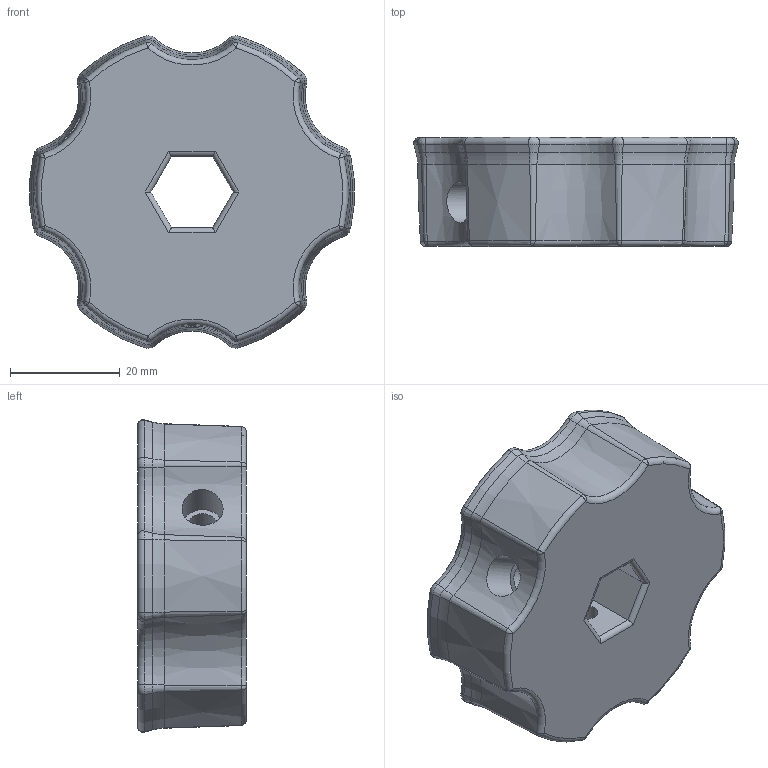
import cadquery as cq
import math

depth = 19.85
front_radius = 28.44
draft_angle = math.radians(2)
flare_angle = math.radians(14.5)
flare_blend_radius = 10.0
flare_blend_start = 14.95
edge_radius = 1.0

scallop_count = 6
scallop_first_angle = 30
scallop_center_distance = 35.1
scallop_front_radius = 11.0
corner_front_radius = 0.8

hex_across_flats = 13.0
hex_mouth_radius = 0.9

cross_hole_y = 8.0
stepped_hole_angle = 150
stepped_hole_diameter = 5.8
counterbore_diameter = 7.5
counterbore_floor_distance = 17.7
plain_hole_angle = 270
plain_hole_diameter = 4.3


def revolved_wall(radius, outward, sweep=360):
    """Solid of revolution about the Y axis whose wall follows the knob's draft and flare.

    outward is +1 where the wall grows away from its axis and -1 where it shrinks toward it.
    A partial sweep starts at the +X axis and turns toward -Z.
    """

    def wall_point(offset, y):
        return (radius + outward * offset, y)

    def blend_point(angle):
        offset = draft_rise + flare_blend_radius * (math.cos(draft_angle) - math.cos(angle))
        y = flare_blend_start + flare_blend_radius * (math.sin(angle) - math.sin(draft_angle))
        return (offset, y)

    draft_rise = flare_blend_start * math.tan(draft_angle)
    blend_middle = blend_point((draft_angle + flare_angle) / 2)
    blend_end = blend_point(flare_angle)
    back_offset = blend_end[0] + (depth - blend_end[1]) * math.tan(flare_angle)

    return (
        cq.Workplane("XY")
        .moveTo(0, 0)
        .lineTo(*wall_point(0, 0))
        .lineTo(*wall_point(draft_rise, flare_blend_start))
        .threePointArc(wall_point(*blend_middle), wall_point(*blend_end))
        .lineTo(*wall_point(back_offset, depth))
        .lineTo(0, depth)
        .close()
        .revolve(sweep, (0, 0, 0), (0, 1, 0))
    )


def turn(shape, angle):
    """Rotate about the Y axis by an angle in radians, from +X toward +Z."""
    return shape.rotate((0, 0, 0), (0, 1, 0), -math.degrees(angle))


def make_body():
    axis_distance = front_radius - corner_front_radius
    scallop_reach = scallop_front_radius + corner_front_radius
    corner_x = (axis_distance**2 + scallop_center_distance**2 - scallop_reach**2) / (
        2 * scallop_center_distance
    )
    corner_z = math.sqrt(axis_distance**2 - corner_x**2)
    rim_angle = math.atan2(corner_z, corner_x)
    scallop_angle = math.atan2(-corner_z, scallop_center_distance - corner_x)
    corner_sweep = math.degrees(rim_angle - scallop_angle)

    clearance_scale = 2
    far_x = corner_x * clearance_scale
    far_z = corner_z * clearance_scale
    clearance = (
        cq.Workplane("XZ")
        .polyline(
            [
                (corner_x, corner_z),
                (far_x, far_z),
                (far_x, -far_z),
                (corner_x, -corner_z),
                (scallop_center_distance, 0),
            ]
        )
        .close()
        .extrude(-depth)
    )
    scallop = revolved_wall(scallop_front_radius, -1).translate((scallop_center_distance, 0, 0))
    corner = revolved_wall(corner_front_radius, 1, corner_sweep)
    upper_corner = turn(corner, rim_angle).translate((corner_x, 0, corner_z))
    lower_corner = turn(corner, -scallop_angle).translate((corner_x, 0, -corner_z))

    body = revolved_wall(front_radius, 1)
    for index in range(scallop_count):
        angle = math.radians(scallop_first_angle + index * 360 / scallop_count)
        body = body.cut(turn(clearance, angle)).cut(turn(scallop, angle))
        body = body.union(turn(upper_corner, angle)).union(turn(lower_corner, angle))
    return body.faces("<Y or >Y").edges().fillet(edge_radius)


def cut_hex_bore(body):
    """Cut the through bore and round its mouth at the front face."""
    corner_diameter = hex_across_flats / math.cos(math.pi / 6)
    bored = body.cut(cq.Workplane("XZ").polygon(6, corner_diameter).extrude(-depth))
    mouth_box = cq.selectors.BoxSelector(
        (-corner_diameter, -hex_mouth_radius, -corner_diameter),
        (corner_diameter, hex_mouth_radius, corner_diameter),
    )
    return bored.faces("<Y").edges(mouth_box).fillet(hex_mouth_radius)


def cut_cross_hole(body, angle_degrees, diameter, start_distance=0):
    """Drill radially outward from start_distance off the knob axis through the rim."""
    angle = math.radians(angle_degrees)
    direction = cq.Vector(math.cos(angle), 0, math.sin(angle))
    start = cq.Vector(0, cross_hole_y, 0) + direction * start_distance
    drill = cq.Solid.makeCylinder(diameter / 2, front_radius - start_distance, start, direction)
    return body.cut(cq.Workplane(drill))


knob = cut_hex_bore(make_body())
knob = cut_cross_hole(knob, stepped_hole_angle, stepped_hole_diameter)
knob = cut_cross_hole(knob, stepped_hole_angle, counterbore_diameter, counterbore_floor_distance)
knob = cut_cross_hole(knob, plain_hole_angle, plain_hole_diameter)
result = cq.Workplane(knob.solids().val())